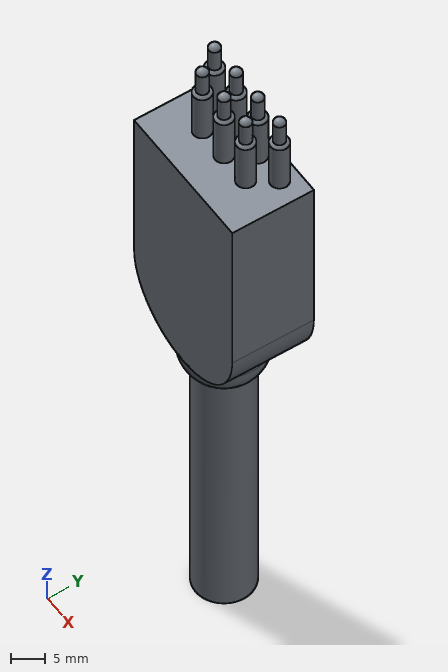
import cadquery as cq

total_height = 111.8
body_width = 25.4
body_depth = 14.3
body_top = 97.6

end_radius = body_width / 2
end_center_height = 67.6
body_bottom = end_center_height - end_radius

cable_diameter = 10.0
collar_radius = body_depth / 2

shank_diameter = 3.1
tip_diameter = 2.0
shank_top = 107.2
dome_height = 0.8
pin_pitch = 5.6
row_spacing = 4.0
rear_row_count = 4
front_row_count = 3


def housing():
    """Flat block with a straight top and a half-round lower end."""
    return (
        cq.Workplane("XZ")
        .moveTo(-end_radius, body_top)
        .lineTo(-end_radius, end_center_height)
        .threePointArc((0, body_bottom), (end_radius, end_center_height))
        .lineTo(end_radius, body_top)
        .close()
        .extrude(body_depth / 2, both=True)
    )


def collar():
    """Round collar running up into the housing, with a ball-shaped lower end."""
    sleeve = (
        cq.Workplane("XY", origin=(0, 0, body_bottom))
        .circle(collar_radius)
        .extrude(end_center_height - body_bottom)
    )
    ball = cq.Workplane("XY", origin=(0, 0, body_bottom)).sphere(collar_radius)
    ball_drop = (collar_radius**2 - (cable_diameter / 2) ** 2) ** 0.5
    kept_zone = (
        cq.Workplane("XY", origin=(0, 0, body_bottom - ball_drop))
        .circle(2 * collar_radius)
        .extrude(ball_drop)
    )
    return sleeve.union(ball.intersect(kept_zone))


def cable():
    """Plain round cable from the base up into the collar."""
    return cq.Workplane("XY").circle(cable_diameter / 2).extrude(body_bottom)


def domed_rod(diameter, bottom, top):
    """Round rod on the Z axis whose upper end is a shallow spherical dome."""
    radius = diameter / 2
    dome_base = top - dome_height
    dome_radius = (radius**2 + dome_height**2) / (2 * dome_height)
    return (
        cq.Workplane("XZ")
        .moveTo(0, bottom)
        .lineTo(radius, bottom)
        .lineTo(radius, dome_base)
        .radiusArc((0, top), -dome_radius)
        .close()
        .revolve(360, (0, 0), (0, 1))
    )


def pin():
    """Pin standing on the housing top; its tip rises out of the domed end of the shank."""
    shank = domed_rod(shank_diameter, body_top, shank_top)
    tip = domed_rod(tip_diameter, body_top, total_height)
    return shank.union(tip)


def pin_row(count, y):
    """Points of a row of evenly spaced pins centred on X = 0."""
    return [((i - (count - 1) / 2) * pin_pitch, y) for i in range(count)]


result = housing().union(collar()).union(cable())

pin_points = pin_row(rear_row_count, row_spacing) + pin_row(front_row_count, 0)
for x, y in pin_points:
    result = result.union(pin().translate((x, y, 0)))